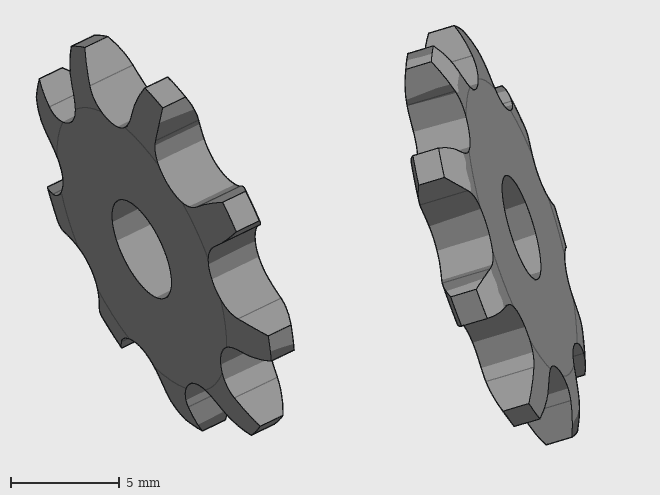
import cadquery as cq
import math

tooth_count = 9
chain_pitch = 6.0
roller_radius = 2.0
tip_radius = 9.95
tip_half_width = 0.75
bore_diameter = 5.0
thickness = 2.6
tip_thickness = 1.27
flat_face_radius = 7.15

tooth_angle = 2 * math.pi / tooth_count
pitch_radius = chain_pitch / 2 / math.sin(tooth_angle / 2)
root_radius = pitch_radius - roller_radius

seat_end_x = chain_pitch / 2 - roller_radius
seat_end_z = pitch_radius * math.cos(tooth_angle / 2)
tip_corner_z = math.sqrt(tip_radius**2 - tip_half_width**2)


def rotated(x, z, angle):
    """Turn a point clockwise about the sprocket axis."""
    return (
        x * math.cos(angle) + z * math.sin(angle),
        z * math.cos(angle) - x * math.sin(angle),
    )


def tooth_outline():
    """Closed outline of teeth with convex flanks and round roller seats."""
    outline = cq.Workplane("XZ").moveTo(-tip_half_width, tip_corner_z)
    for index in range(tooth_count):
        angle = index * tooth_angle
        next_angle = angle + tooth_angle
        outline = outline.threePointArc(
            rotated(0, tip_radius, angle),
            rotated(tip_half_width, tip_corner_z, angle),
        )
        outline = tangent_flank(outline, angle, 1)
        outline = outline.threePointArc(
            rotated(0, root_radius, angle + tooth_angle / 2),
            rotated(-seat_end_x, seat_end_z, next_angle),
        )
        outline = tangent_flank(outline, next_angle, -1)
    return outline.close()


def tangent_flank(outline, angle, side):
    """Add a flank arc: downwards on side 1, upwards on side -1."""
    inset = seat_end_x - tip_half_width
    height = tip_corner_z - seat_end_z
    flank_radius = (height**2 + inset**2) / (2 * inset)
    half_sweep = math.atan2(inset, height)
    middle_x = seat_end_x - flank_radius * (1 - math.cos(half_sweep))
    middle_z = seat_end_z + flank_radius * math.sin(half_sweep)
    if side == 1:
        end = rotated(seat_end_x, seat_end_z, angle)
    else:
        end = rotated(-tip_half_width, tip_corner_z, angle)
    return outline.threePointArc(rotated(side * middle_x, middle_z, angle), end)


def rounded_blank():
    """Disc with a central bore whose faces curve smoothly towards the tooth tips."""
    rim_height = tip_radius - flat_face_radius
    side_relief = (thickness - tip_thickness) / 2
    relief_radius = (rim_height**2 + side_relief**2) / (2 * side_relief)
    half_sweep = math.atan2(side_relief, rim_height)
    middle_radius = flat_face_radius + relief_radius * math.sin(half_sweep)
    middle_y = thickness / 2 - relief_radius * (1 - math.cos(half_sweep))
    return (
        cq.Workplane("XY")
        .moveTo(bore_diameter / 2, -thickness / 2)
        .lineTo(flat_face_radius, -thickness / 2)
        .threePointArc((middle_radius, -middle_y), (tip_radius, -tip_thickness / 2))
        .lineTo(tip_radius, tip_thickness / 2)
        .threePointArc((middle_radius, middle_y), (flat_face_radius, thickness / 2))
        .lineTo(bore_diameter / 2, thickness / 2)
        .close()
        .revolve(360, (0, 0, 0), (0, 1, 0))
    )


toothed_plate = tooth_outline().extrude(thickness / 2, both=True)
result = toothed_plate.intersect(rounded_blank())